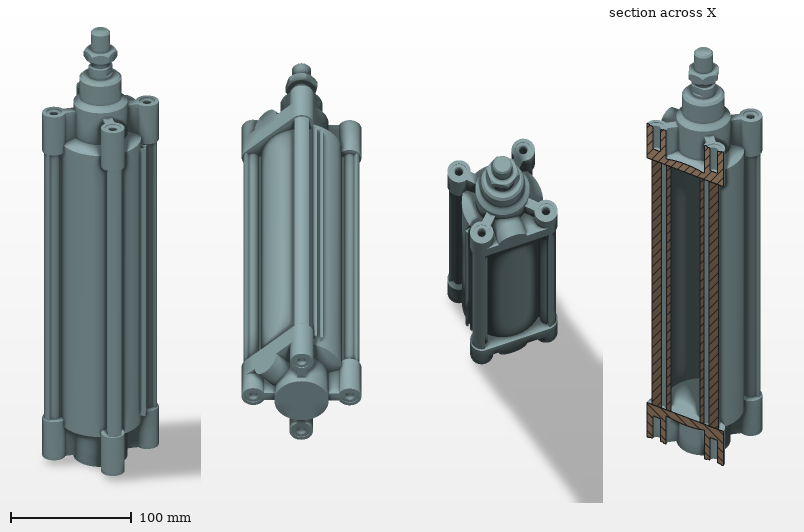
import cadquery as cq
import math

total_length = 395.3
cover_end_gap = 4.7
cover_height = 35.5
barrel_length = 248.5
barrel_bottom = cover_end_gap + cover_height
barrel_top = barrel_bottom + barrel_length

cover_width = 76.0
lobe_diameter = 19.5
corner_offset = (cover_width - lobe_diameter) / 2
corner_angles = (45, 135, 225, 315)
corner_distance = corner_offset * math.sqrt(2)

plate_diameter = 67.5
plate_rim_height = 6.7
plate_cone_height = 4.5
collar_diameter = 45.0
web_width = 8.0
screw_recess_diameter = 13.5
screw_recess_depth = 0.8
screw_hole_diameter = 6.7
screw_hole_mouth = 8.3
screw_hole_depth = 23.7

port_boss_diameter = 25.0
port_boss_offset = 4.5
port_axis_height = 17.8

head_collar_height = 40.7
neck_cone_height = 4.5
neck_diameter = 35.0
neck_top = 353.8
neck_chamfer = 2.0

barrel_diameter = plate_diameter
barrel_bore = 63.0
channel_diameter = 10.0
channel_outer_radius = 8.3
channel_web_width = 3.0

rail_angle = 23
rail_reach = 38.0
rail_width = 7.5
rail_wall = 1.0
rail_mouth = 3.0
rail_floor = barrel_diameter / 2

rod_diameter = 20.0
rod_flat_width = 17.0
flats_bottom = 356.5
rod_shoulder = 363.3
relief_diameter = 14.5
relief_top = 367.2
thread_diameter = 16.0
thread_tip_diameter = 13.0
thread_chamfer_height = 1.5

nut_across_flats = 24.0
nut_bottom = 369.5
nut_height = 8.3
nut_chamfer_angle = 45


def cylinder(diameter, bottom, height):
    """Upright cylinder on the Z axis."""
    return cq.Workplane("XY", origin=(0, 0, bottom)).circle(diameter / 2).extrude(height)


def radial_bar(start, end, width, bottom, height):
    """Upright bar along +X from start to end, centred on the X axis."""
    corner = cq.Workplane("XY", origin=(start, 0, bottom))
    return corner.box(end - start, width, height, centered=(False, True, False))


def turned(shape, angle):
    """The shape turned about the Z axis."""
    return shape.rotate((0, 0, 0), (0, 0, 1), angle)


def cover_base():
    """Cover with its barrel face on Z = 0 and its lobes rising towards +Z."""
    plate_radius = plate_diameter / 2
    collar_radius = collar_diameter / 2
    cone_top = plate_rim_height + plate_cone_height
    body = (
        cq.Workplane("XZ")
        .moveTo(0, 0)
        .lineTo(plate_radius, 0)
        .lineTo(plate_radius, plate_rim_height)
        .lineTo(collar_radius, cone_top)
        .lineTo(0, cone_top)
        .close()
        .revolve(360, (0, 0, 0), (0, 1, 0))
    )
    for angle in corner_angles:
        web = radial_bar(0, corner_distance, web_width, 0, cover_height)
        lobe = cylinder(lobe_diameter, 0, cover_height).translate((corner_distance, 0, 0))
        body = body.union(turned(web.union(lobe), angle))
    body = body.union(port_block())
    for angle in corner_angles:
        body = body.cut(turned(screw_hole(), angle))
    return body


def port_block():
    """Block between the two +Y lobes, carrying the round port boss."""
    half_width = cover_width / 2
    block = (
        cq.Workplane("XY")
        .lineTo(corner_offset, corner_offset)
        .lineTo(corner_offset, half_width)
        .lineTo(-corner_offset, half_width)
        .lineTo(-corner_offset, corner_offset)
        .close()
        .extrude(port_axis_height)
    )
    boss = (
        cq.Workplane("XZ")
        .center(port_boss_offset, port_axis_height)
        .circle(port_boss_diameter / 2)
        .extrude(-half_width)
    )
    return block.union(boss)


def screw_hole():
    """Recess, mouth chamfer and hole in the end of one lobe lying on the X axis."""
    recess_floor = cover_height - screw_recess_depth
    mouth_chamfer = (screw_hole_mouth - screw_hole_diameter) / 2
    return (
        cq.Workplane("XZ")
        .moveTo(0, cover_height)
        .lineTo(screw_recess_diameter / 2, cover_height)
        .lineTo(screw_recess_diameter / 2, recess_floor)
        .lineTo(screw_hole_mouth / 2, recess_floor)
        .lineTo(screw_hole_diameter / 2, recess_floor - mouth_chamfer)
        .lineTo(screw_hole_diameter / 2, cover_height - screw_hole_depth)
        .lineTo(0, cover_height - screw_hole_depth)
        .close()
        .revolve(360, (0, 0, 0), (0, 1, 0))
        .translate((corner_distance, 0, 0))
    )


def make_head_cover():
    collar_top = barrel_top + head_collar_height
    cone_top = collar_top + neck_cone_height
    neck_radius = neck_diameter / 2
    collar_radius = collar_diameter / 2
    neck = (
        cq.Workplane("XZ")
        .moveTo(0, barrel_top)
        .lineTo(collar_radius, barrel_top)
        .lineTo(collar_radius, collar_top)
        .lineTo(neck_radius, cone_top)
        .lineTo(neck_radius, neck_top - neck_chamfer)
        .lineTo(neck_radius - neck_chamfer, neck_top)
        .lineTo(0, neck_top)
        .close()
        .revolve(360, (0, 0, 0), (0, 1, 0))
    )
    rod_hole = cylinder(rod_diameter, barrel_top, neck_top - barrel_top)
    return cover_base().translate((0, 0, barrel_top)).union(neck).cut(rod_hole)


def make_rear_cover():
    collar = cylinder(collar_diameter, 0, barrel_bottom)
    return cover_base().mirror("XY").translate((0, 0, barrel_bottom)).union(collar)


def channel(angle):
    """Corner screw channel: a round rib, thicker on its outward quarter."""
    inner = cylinder(channel_diameter, barrel_bottom, barrel_length)
    half_step = channel_outer_radius / math.sqrt(2)
    outer = (
        cq.Workplane("XY", origin=(0, 0, barrel_bottom))
        .lineTo(half_step, -half_step)
        .threePointArc((channel_outer_radius, 0), (half_step, half_step))
        .close()
        .extrude(barrel_length)
    )
    web = radial_bar(0, corner_distance, channel_web_width, barrel_bottom, barrel_length)
    rib = inner.union(outer).translate((corner_distance, 0, 0)).union(web)
    return turned(rib, angle)


def sensor_rail(angle):
    """Slotted rail: two arms with hooks that turn in towards each other."""
    slot_width = rail_width - 2 * rail_wall
    slot_end = rail_reach - rail_wall
    rail = radial_bar(0, rail_reach, rail_width, barrel_bottom, barrel_length)
    slot = radial_bar(rail_floor, slot_end, slot_width, barrel_bottom, barrel_length)
    mouth = radial_bar(rail_floor, rail_reach, rail_mouth, barrel_bottom, barrel_length)
    return turned(rail.cut(slot).cut(mouth), angle)


def make_barrel():
    barrel = cylinder(barrel_diameter, barrel_bottom, barrel_length)
    for angle in corner_angles:
        barrel = barrel.union(channel(angle))
    for angle in (rail_angle, 180 - rail_angle):
        barrel = barrel.union(sensor_rail(angle))
    return barrel.cut(cylinder(barrel_bore, barrel_bottom, barrel_length))


def make_rod():
    shank = cylinder(rod_diameter, barrel_top, rod_shoulder - barrel_top)
    flats_height = rod_shoulder - flats_bottom
    half_flat_width = rod_flat_width / 2
    between_flats = radial_bar(
        -half_flat_width, half_flat_width, rod_diameter, flats_bottom, flats_height
    )
    flats = cylinder(rod_diameter, flats_bottom, flats_height).cut(between_flats)
    relief = cylinder(relief_diameter, rod_shoulder, relief_top - rod_shoulder)
    thread = cylinder(thread_diameter, relief_top, total_length - relief_top)
    tip_inset = (thread_diameter - thread_tip_diameter) / 2
    thread = thread.faces(">Z").chamfer(thread_chamfer_height, tip_inset)
    return shank.cut(flats).union(relief).union(thread)


def make_nut():
    across_corners = nut_across_flats / math.cos(math.pi / 6)
    corner_drop = (across_corners - nut_across_flats) / 2 * math.tan(math.radians(nut_chamfer_angle))
    nut = turned(cq.Workplane("XY").polygon(6, across_corners).extrude(nut_height), 90)
    rounding = (
        cq.Workplane("XZ")
        .moveTo(0, 0)
        .lineTo(nut_across_flats / 2, 0)
        .lineTo(across_corners / 2, corner_drop)
        .lineTo(across_corners / 2, nut_height - corner_drop)
        .lineTo(nut_across_flats / 2, nut_height)
        .lineTo(0, nut_height)
        .close()
        .revolve(360, (0, 0, 0), (0, 1, 0))
    )
    bore = cylinder(thread_diameter, 0, nut_height)
    return nut.intersect(rounding).cut(bore).translate((0, 0, nut_bottom))


head_cover = make_head_cover()
rear_cover = make_rear_cover()
barrel = make_barrel()
rod = make_rod()
nut = make_nut()

result = cq.Compound.makeCompound(
    [head_cover.val(), rear_cover.val(), barrel.val(), rod.val(), nut.val()]
)